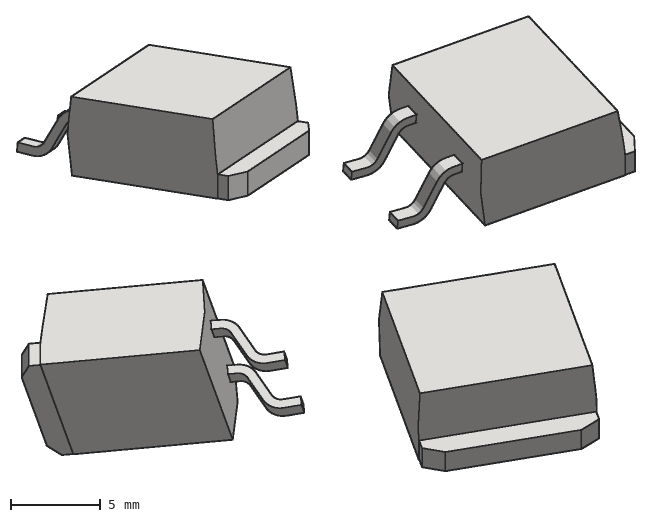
import cadquery as cq
import math

housing_width = 10.2
housing_height = 4.58
parting_height = 2.41
parting_left = 4.15
top_left, top_right = 4.3, 13.05
bottom_left = 4.43
top_side_inset = 0.16

tab_left, tab_right = 13.44, 14.72
tab_height = 1.43
tab_width = 10.14
tab_chamfer_length = 0.63
tab_chamfer_width = 1.18

end_taper = (tab_left - top_right) / (housing_height - tab_height)
parting_right = top_right + end_taper * (housing_height - parting_height)

lead_width = 0.91
lead_thickness = 0.56
lead_pitch = 5.1
lead_top = 3.05
lead_embed = 0.44
shoulder_start = 3.64
inner_radius = 0.68
slope_angle = 60.0
foot_angle = 5.0
outer_radius = inner_radius + lead_thickness
lead_positions = (-lead_pitch / 2, lead_pitch / 2)


def polar(center, radius, degrees):
    """Point at a given radius and angle from a center in the XZ plane."""
    angle = math.radians(degrees)
    return (center[0] + radius * math.cos(angle), center[1] + radius * math.sin(angle))


def make_lead(y_center):
    """One bent strip: straight shank, shoulder bend, slope, foot bend and upturned foot."""
    slope = math.radians(slope_angle)
    tilt = math.radians(foot_angle)
    shank_end = parting_left + lead_embed

    shoulder = (shoulder_start, lead_top - outer_radius)
    center_rise = shoulder[1] - outer_radius
    center_run = (inner_radius + outer_radius + center_rise * math.cos(slope)) / math.sin(slope)
    foot = (shoulder[0] - center_run, outer_radius)

    slope_on_shoulder = 90 + slope_angle
    slope_on_foot = slope_angle - 90
    foot_start = -90 - foot_angle
    shoulder_middle = (90 + slope_on_shoulder) / 2
    foot_middle = (slope_on_foot + foot_start) / 2

    under_foot = polar(foot, outer_radius, foot_start)
    toe_low = (0, under_foot[1] + under_foot[0] * math.tan(tilt))
    toe_high = (lead_thickness * math.sin(tilt), toe_low[1] + lead_thickness * math.cos(tilt))

    return (
        cq.Workplane("XZ", origin=(0, y_center + lead_width / 2, 0))
        .moveTo(shank_end, lead_top)
        .lineTo(shoulder_start, lead_top)
        .threePointArc(
            polar(shoulder, outer_radius, shoulder_middle),
            polar(shoulder, outer_radius, slope_on_shoulder),
        )
        .lineTo(*polar(foot, inner_radius, slope_on_foot))
        .threePointArc(
            polar(foot, inner_radius, foot_middle),
            polar(foot, inner_radius, foot_start),
        )
        .lineTo(*toe_high)
        .lineTo(*toe_low)
        .lineTo(*under_foot)
        .threePointArc(
            polar(foot, outer_radius, foot_middle),
            polar(foot, outer_radius, slope_on_foot),
        )
        .lineTo(*polar(shoulder, inner_radius, slope_on_shoulder))
        .threePointArc(
            polar(shoulder, inner_radius, shoulder_middle),
            polar(shoulder, inner_radius, 90),
        )
        .lineTo(shank_end, lead_top - lead_thickness)
        .close()
        .extrude(lead_width)
    )


def make_tab():
    """Flat plate with its two outer corners cut off."""
    half_width = tab_width / 2
    chamfer_x = tab_right - tab_chamfer_length
    chamfer_y = half_width - tab_chamfer_width
    return (
        cq.Workplane("XY")
        .polyline([
            (tab_left, -half_width),
            (chamfer_x, -half_width),
            (tab_right, -chamfer_y),
            (tab_right, chamfer_y),
            (chamfer_x, half_width),
            (tab_left, half_width),
        ])
        .close()
        .extrude(tab_height)
    )


def make_housing(leads):
    """Tapered molding with a pocket around each lead's shank."""
    half_width = housing_width / 2
    lower = (
        cq.Workplane("XZ", origin=(0, half_width, 0))
        .polyline([
            (bottom_left, 0),
            (tab_left, 0),
            (tab_left, tab_height),
            (parting_right, parting_height),
            (parting_left, parting_height),
        ])
        .close()
        .extrude(housing_width)
    )

    top_width = housing_width - 2 * top_side_inset
    parting_center = (parting_left + parting_right) / 2
    top_center = (top_left + top_right) / 2
    upper = (
        cq.Workplane("XY", origin=(parting_center, 0, parting_height))
        .rect(parting_right - parting_left, housing_width)
        .workplane(offset=housing_height - parting_height)
        .center(top_center - parting_center, 0)
        .rect(top_right - top_left, top_width)
        .loft(ruled=True)
    )

    housing = lower.union(upper)
    for lead in leads:
        housing = housing.cut(lead)
    return housing


leads = [make_lead(y) for y in lead_positions]
tab = make_tab()
housing = make_housing(leads)

result = cq.Compound.makeCompound([housing.val(), tab.val(), *[lead.val() for lead in leads]])